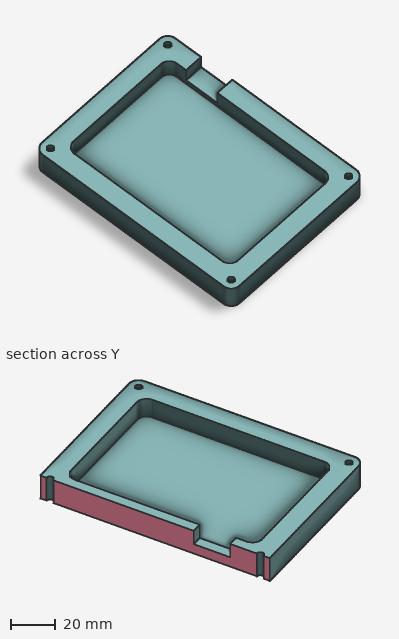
import cadquery as cq

LENGTH = 118.6
WIDTH = 87.6
HEIGHT = 13.0
CORNER_RADIUS = 5.0

WALL = 10.0
POCKET_DEPTH = 10.0
POCKET_RADIUS = CORNER_RADIUS
POCKET_LENGTH = LENGTH - 2 * WALL
POCKET_WIDTH = WIDTH - 2 * WALL

NOTCH_START = 20.5
NOTCH_LENGTH = 18.7
NOTCH_DEPTH = 7.5

HOLE_DIAMETER = 3.4


def make_block():
    block = cq.Workplane("XY").box(LENGTH, WIDTH, HEIGHT, centered=(True, True, False))
    return block.edges("|Z").fillet(CORNER_RADIUS)


def make_pocket():
    floor = HEIGHT - POCKET_DEPTH
    pocket = (
        cq.Workplane("XY")
        .workplane(offset=floor)
        .box(POCKET_LENGTH, POCKET_WIDTH, POCKET_DEPTH, centered=(True, True, False))
    )
    return pocket.edges("|Z").fillet(POCKET_RADIUS)


def make_notch():
    corner = (NOTCH_START - LENGTH / 2, WIDTH / 2 - WALL, HEIGHT - NOTCH_DEPTH)
    return cq.Workplane("XY").box(NOTCH_LENGTH, WALL, NOTCH_DEPTH, centered=False).translate(corner)


def make_corner_holes():
    spacing_x = LENGTH - 2 * CORNER_RADIUS
    spacing_y = WIDTH - 2 * CORNER_RADIUS
    return (
        cq.Workplane("XY")
        .rect(spacing_x, spacing_y, forConstruction=True)
        .vertices()
        .circle(HOLE_DIAMETER / 2)
        .extrude(HEIGHT)
    )


result = make_block().cut(make_pocket()).cut(make_notch()).cut(make_corner_holes())